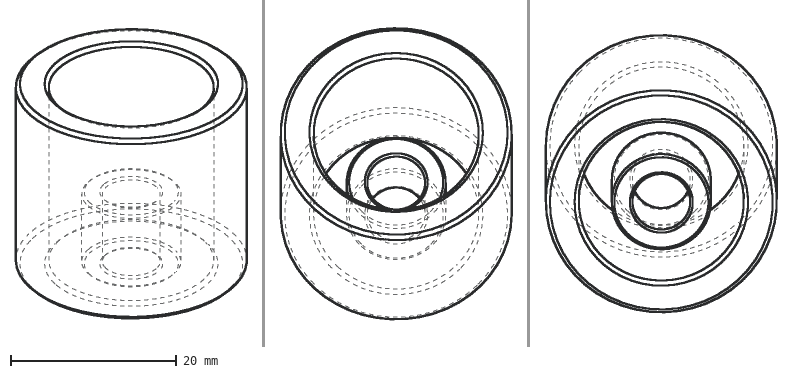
import cadquery as cq

SLEEVE_DIAMETER = 28.0
SLEEVE_BORE = 20.0
SLEEVE_HEIGHT = 25.0
SLEEVE_CHAMFER = 0.5

BUSHING_DIAMETER = 12.0
BUSHING_BORE = 7.0
BUSHING_HEIGHT = 10.0
BUSHING_CHAMFER = 0.3


def chamfered_tube(diameter, bore, height, chamfer):
    """Vertical tube standing on Z = 0, with all four circular edges chamfered."""
    tube = cq.Workplane("XY").circle(diameter / 2).circle(bore / 2).extrude(height)
    return tube.faces("<Z or >Z").edges().chamfer(chamfer)


sleeve = chamfered_tube(SLEEVE_DIAMETER, SLEEVE_BORE, SLEEVE_HEIGHT, SLEEVE_CHAMFER)
bushing = chamfered_tube(BUSHING_DIAMETER, BUSHING_BORE, BUSHING_HEIGHT, BUSHING_CHAMFER)

result = cq.Compound.makeCompound([sleeve.val(), bushing.val()])